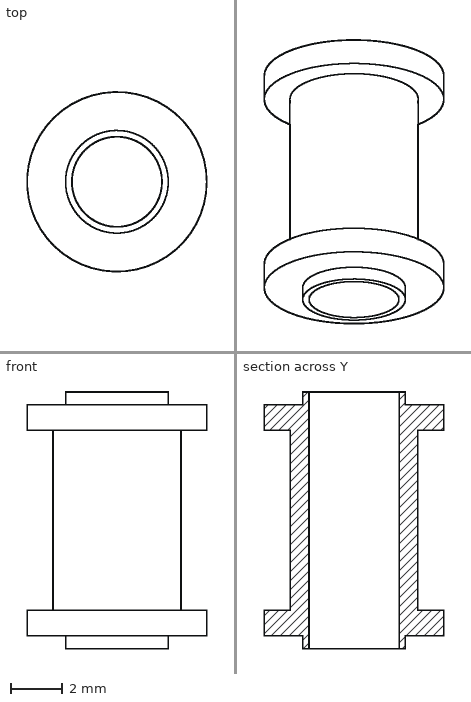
import cadquery as cq

total_length = 10
collar_diameter = 4
collar_length = 0.5
flange_diameter = 7
flange_thickness = 1
barrel_diameter = 5
bore_diameter = 3.5

flanged_length = total_length - 2 * collar_length
barrel_length = flanged_length - 2 * flange_thickness


def cylinder(diameter, length, bottom_z):
    """Cylinder on the Z axis whose lower face lies at bottom_z."""
    return cq.Workplane("XY").workplane(offset=bottom_z).circle(diameter / 2).extrude(length)


spool = cylinder(collar_diameter, total_length, -total_length / 2)

spool = spool.union(cylinder(barrel_diameter, barrel_length, -barrel_length / 2))

for flange_bottom in (-flanged_length / 2, barrel_length / 2):
    spool = spool.union(cylinder(flange_diameter, flange_thickness, flange_bottom))

result = spool.cut(cylinder(bore_diameter, total_length, -total_length / 2))